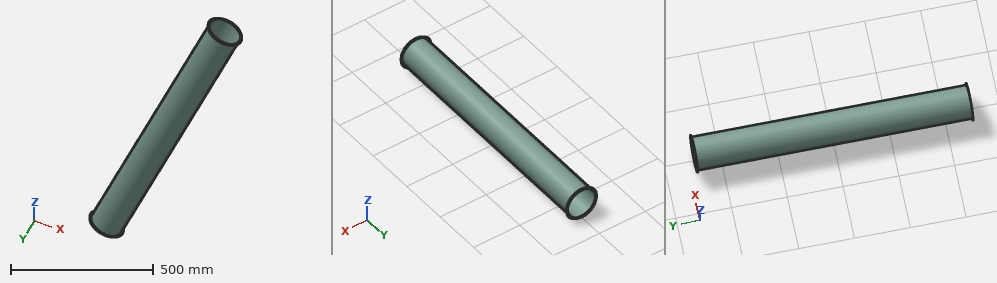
import cadquery as cq

length = 988.0
bore_diameter = 119.0
tube_diameter = 121.0
flange_diameter = 133.0
flange_thickness = 1.0


def ring(outer_diameter, thickness, start_y):
    """Annular body around the Y axis, from start_y towards +Y."""
    return (
        cq.Workplane("XZ", origin=(0, start_y, 0))
        .circle(outer_diameter / 2)
        .circle(bore_diameter / 2)
        .extrude(-thickness)
    )


result = ring(tube_diameter, length, -length / 2)

for flange_start in (-length / 2, length / 2 - flange_thickness):
    result = result.union(ring(flange_diameter, flange_thickness, flange_start))